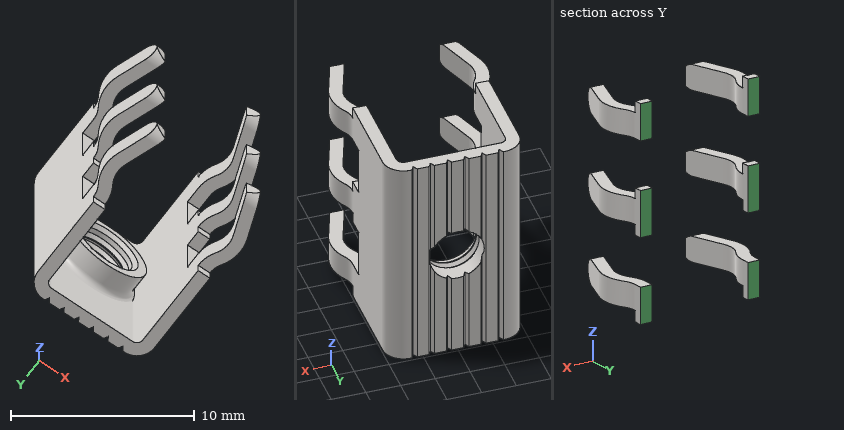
import cadquery as cq
import math

thickness = 0.8
width = 7.86
height = 12.88
bend_radius = 1.2
half_width = width / 2
half_height = height / 2

wall_depth = 6.36
notch_depth = 1.0
tab_height = 2.77

pin_width = 1.52
pin_pitch = 5.0
pin_span = 9.05
tip_depth = 11.68
tip_angle = math.radians(20)
flare_radius = 1.4
belly_radius = 2.4

collar_radius = 2.6
collar_depth = 2.28
collar_fillet = 0.37
mouth_radius = 2.03
root_radius = 1.79
crest_radius = 1.57
mouth_chamfer = mouth_radius - root_radius
lead_in_length = 0.3
crest_length = 0.06
thread_flank = root_radius - crest_radius

groove_count = 6
groove_pitch = 0.99
groove_width = 0.3
groove_depth = groove_width / 2 * math.sqrt(3)


def polar(center, radius, angle):
    """Point at a given angle, in radians, around a centre."""
    return (
        center[0] + radius * math.cos(angle),
        center[1] + radius * math.sin(angle),
    )


def make_channel():
    """U-shaped sheet with rounded back corners."""
    outer = (
        cq.Workplane("XY", origin=(0, -wall_depth / 2, 0))
        .box(width, wall_depth, height)
        .edges("|Z and >Y")
        .fillet(bend_radius)
    )
    inner_depth = wall_depth - thickness
    inner = (
        cq.Workplane("XY", origin=(0, -thickness - inner_depth / 2, 0))
        .box(width - 2 * thickness, inner_depth, height)
        .edges("|Z and >Y")
        .fillet(bend_radius - thickness)
    )
    return outer.cut(inner)


def cut_notches(body):
    """Recess the wall edges between the pins, leaving the centre tab and two end tabs."""
    notch_start = tab_height / 2
    notch_end = pin_pitch - pin_width / 2
    notch_height = notch_end - notch_start
    notch_y = -wall_depth + notch_depth / 2
    for side in (-1, 1):
        center_z = side * (notch_start + notch_end) / 2
        notch = cq.Workplane("XY", origin=(0, notch_y, center_z)).box(width, notch_depth, notch_height)
        body = body.cut(notch)
    return body


def make_pin():
    """Pin on the +X wall, centred on Z = 0: flare out, belly, then a straight inward end."""
    bulge = pin_span / 2 - half_width
    flare_angle = math.acos(1 - bulge / (flare_radius + belly_radius))
    belly_y = -wall_depth - (flare_radius + belly_radius) * math.sin(flare_angle)
    flare_center = (half_width + flare_radius, -wall_depth)
    belly_center = (pin_span / 2 - belly_radius, belly_y)
    flare_inner = flare_radius + thickness
    belly_inner = belly_radius - thickness

    outer_start = polar(belly_center, belly_radius, -tip_angle)
    inner_start = polar(belly_center, belly_inner, -tip_angle)
    end_length = (tip_depth + outer_start[1]) / math.cos(tip_angle)
    end_angle = -math.pi / 2 - tip_angle
    outer_end = polar(outer_start, end_length, end_angle)
    inner_end = polar(inner_start, end_length, end_angle)

    flare_end = math.pi + flare_angle
    flare_middle = math.pi + flare_angle / 2
    belly_middle = (flare_angle - tip_angle) / 2
    pin = (
        cq.Workplane("XY", origin=(0, 0, -pin_width / 2))
        .moveTo(half_width, -wall_depth)
        .threePointArc(
            polar(flare_center, flare_radius, flare_middle),
            polar(flare_center, flare_radius, flare_end),
        )
        .threePointArc(polar(belly_center, belly_radius, belly_middle), outer_start)
        .lineTo(*outer_end)
        .lineTo(*inner_end)
        .lineTo(*inner_start)
        .threePointArc(
            polar(belly_center, belly_inner, belly_middle),
            polar(belly_center, belly_inner, flare_angle),
        )
        .threePointArc(
            polar(flare_center, flare_inner, flare_middle),
            (half_width - thickness, -wall_depth),
        )
        .close()
        .extrude(pin_width)
    )
    return pin.intersect(make_pin_side_shape())


def make_pin_side_shape():
    """Round-ended strip along X that rounds the pin tip."""
    tip_radius = pin_width / 2
    round_y = -tip_depth + tip_radius
    return (
        cq.Workplane("YZ")
        .moveTo(0, tip_radius)
        .lineTo(round_y, tip_radius)
        .threePointArc((-tip_depth, 0), (round_y, -tip_radius))
        .lineTo(0, -tip_radius)
        .close()
        .extrude(pin_span)
    )


def make_pins():
    """Three pins on each wall."""
    right_pin = make_pin()
    left_pin = right_pin.mirror("YZ")
    pins = []
    for row in (-1, 0, 1):
        for pin in (left_pin, right_pin):
            pins.append(pin.translate((0, 0, row * pin_pitch)))
    return pins


def revolve_about_hole(profile):
    """Revolve a closed (radius, Y) profile about the Y axis."""
    return profile.close().revolve(360, (0, 0, 0), (0, 1, 0))


def make_collar():
    """Collar on the inside of the back plate, blended into it by a concave fillet."""
    blend = collar_fillet * (1 - math.sqrt(0.5))
    profile = (
        cq.Workplane("XY")
        .moveTo(0, -thickness / 2)
        .lineTo(collar_radius + collar_fillet, -thickness / 2)
        .lineTo(collar_radius + collar_fillet, -thickness)
        .threePointArc(
            (collar_radius + blend, -thickness - blend),
            (collar_radius, -thickness - collar_fillet),
        )
        .lineTo(collar_radius, -collar_depth)
        .lineTo(0, -collar_depth)
    )
    return revolve_about_hole(profile)


def make_bore():
    """Through bore: chamfered mouth, plain lead-in, one crest and V groove, then the minor bore."""
    lead_in_start = -collar_depth + mouth_chamfer
    lead_in_end = lead_in_start + lead_in_length
    crest_start = lead_in_end + thread_flank
    crest_end = crest_start + crest_length
    groove_root = crest_end + thread_flank
    groove_end = groove_root + thread_flank
    profile = (
        cq.Workplane("XY")
        .moveTo(0, -collar_depth)
        .lineTo(mouth_radius, -collar_depth)
        .lineTo(root_radius, lead_in_start)
        .lineTo(root_radius, lead_in_end)
        .lineTo(crest_radius, crest_start)
        .lineTo(crest_radius, crest_end)
        .lineTo(root_radius, groove_root)
        .lineTo(crest_radius, groove_end)
        .lineTo(crest_radius, 0)
        .lineTo(0, 0)
    )
    return revolve_about_hole(profile)


def cut_grooves(body):
    """V grooves along Z in the back face."""
    for index in range(groove_count):
        center_x = (index - (groove_count - 1) / 2) * groove_pitch
        groove = (
            cq.Workplane("XY", origin=(center_x, 0, -half_height))
            .moveTo(-groove_width / 2, 0)
            .lineTo(0, -groove_depth)
            .lineTo(groove_width / 2, 0)
            .close()
            .extrude(height)
        )
        body = body.cut(groove)
    return body


result = cut_notches(make_channel())
for pin in make_pins():
    result = result.union(pin)
result = result.union(make_collar()).cut(make_bore())
result = cut_grooves(result)